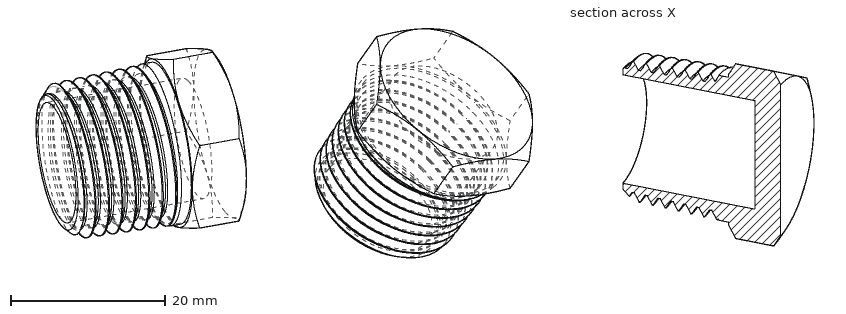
import cadquery as cq
import math

length = 22.22
head_thickness = 7.4
hex_corners = 25.65
corner_up_turn = 30.0
hex_chamfer_angle = 30.0
face_radius = 11.09
bevel_clearance = 0.51

collar_radius = 10.67
collar_end = 8.72
collar_bevel_length = 0.67

pitch = 1.815
thread_depth = 1.18
crest_width = 0.15
flank_angle = 30.0
taper_slope = 1 / 32
crest_radius = 10.62
thread_start = 7.62
thread_turns = 9
root_overlap = 0.1

tip_radius = 8.85
tip_chamfer_height = 1.55

bore_radius = 7.93
floor_thickness = head_thickness / 2


def crest_radius_at(z):
    return crest_radius - taper_slope * (z - collar_end)


def root_radius_at(z):
    return crest_radius_at(z) - thread_depth


def revolve_profile(points):
    """Revolve a closed (radius, z) outline around the Z axis."""
    return cq.Workplane("XZ").polyline(points).close().revolve(360, (0, 0), (0, 1))


def make_head():
    hexagon = (
        cq.Workplane("XY")
        .polygon(6, hex_corners)
        .extrude(head_thickness)
        .rotate((0, 0, 0), (0, 0, 1), corner_up_turn)
    )
    rim_radius = hex_corners / 2 + bevel_clearance
    bevel = (rim_radius - face_radius) * math.tan(math.radians(hex_chamfer_angle))
    corner_limit = revolve_profile([
        (0, 0),
        (face_radius, 0),
        (rim_radius, bevel),
        (rim_radius, head_thickness - bevel),
        (face_radius, head_thickness),
        (0, head_thickness),
    ])
    return hexagon.intersect(corner_limit)


def make_core():
    bevel_end = collar_end + collar_bevel_length
    return revolve_profile([
        (0, floor_thickness),
        (collar_radius, floor_thickness),
        (collar_radius, collar_end),
        (root_radius_at(bevel_end), bevel_end),
        (root_radius_at(length), length),
        (0, length),
    ])


def make_thread():
    """Right-handed ridge swept along a conical helix."""
    root = root_radius_at(thread_start)
    base_radius = root - root_overlap
    half_crest = crest_width / 2
    half_base = half_crest + (thread_depth + root_overlap) * math.tan(math.radians(flank_angle))
    taper_angle = math.degrees(math.atan(taper_slope))
    helix = cq.Wire.makeHelix(pitch, thread_turns * pitch, root, angle=-taper_angle)
    ridge = (
        cq.Workplane("XZ")
        .polyline([
            (base_radius, -half_base),
            (root + thread_depth, -half_crest),
            (root + thread_depth, half_crest),
            (base_radius, half_base),
        ])
        .close()
        .sweep(cq.Workplane(obj=helix), isFrenet=True)
    )
    return ridge.translate((0, 0, thread_start))


def make_shank_limit():
    """Collar cylinder with the chamfer at the open end."""
    chamfer_start = length - tip_chamfer_height
    shoulder_radius = tip_radius + tip_chamfer_height
    return revolve_profile([
        (0, floor_thickness),
        (collar_radius, floor_thickness),
        (collar_radius, collar_end),
        (shoulder_radius, chamfer_start),
        (tip_radius, length),
        (0, length),
    ])


shank_limit = make_shank_limit()
thread = make_thread().intersect(shank_limit)
shank = make_core().intersect(shank_limit).union(thread)
bore = cq.Workplane("XY").workplane(offset=floor_thickness).circle(bore_radius).extrude(length)
plug = make_head().union(shank).cut(bore)

result = plug.rotate((0, 0, 0), (1, 0, 0), 90)